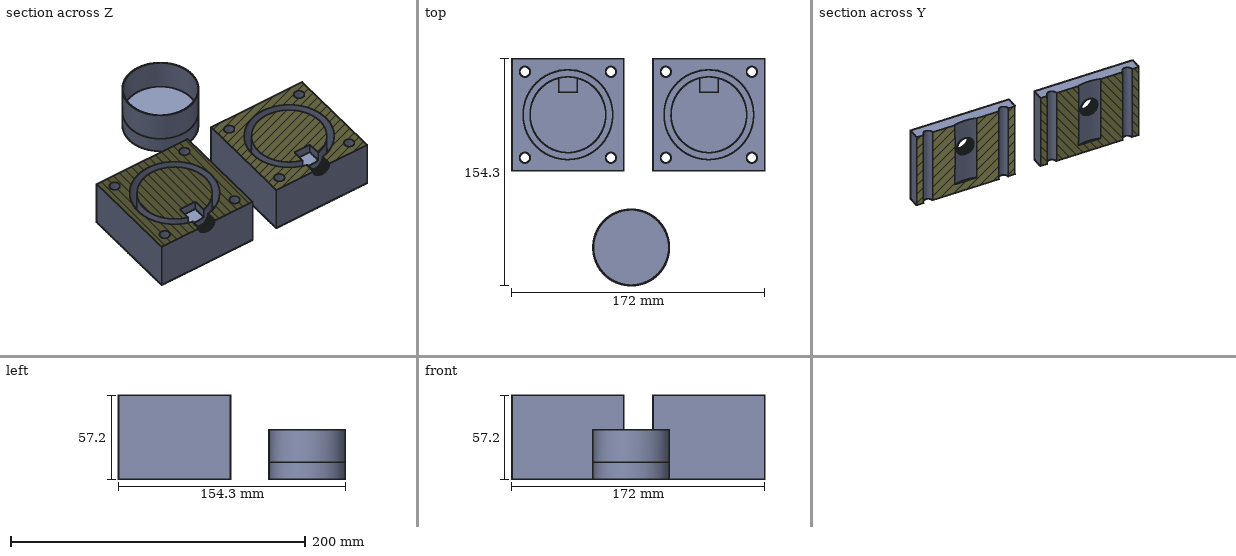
import cadquery as cq
import math

total_length = 171.96
total_width = 154.27

housing_count = 2
housing_side = 76.2
housing_height = 57.15
bore_diameter = 60.96
post_diameter = 51.49
post_top_depth = 13.4
side_wall = (housing_side - bore_diameter) / 2
floor_thickness = side_wall
bore_depth = housing_height - floor_thickness

bolt_hole_diameter = 6.91
bolt_hole_pitch = 58.42

notch_width = 12.7
notch_front = 15.24

port_depth = 21.4
port_diameter = 12.4
thread_pitch = 1.411
thread_height = 0.5

cup_diameter = 51.99
cup_bore_diameter = 51.16
cup_height = 33.78
cup_base_height = 11.43
cup_center_x = 81.05


def make_housing():
    """Square block on Z = 0, bored out around a central post and centred on the Z axis."""
    block = cq.Workplane("XY").rect(housing_side, housing_side).extrude(housing_height)
    post_top = housing_height - post_top_depth
    block = block.cut(
        cq.Workplane("XY", origin=(0, 0, floor_thickness)).circle(bore_diameter / 2).extrude(bore_depth)
    )
    post = cq.Workplane("XY").circle(post_diameter / 2).extrude(post_top).cut(make_notch())
    block = block.union(post)
    block = block.cut(make_bolt_holes())
    return block.cut(make_port())


def make_notch():
    """Slot out through the back of the post, its floor level with the underside of the port."""
    length = bore_diameter / 2 - notch_front
    notch_floor = housing_height - port_depth - port_diameter / 2 - thread_height
    return (
        cq.Workplane("XY", origin=(0, notch_front + length / 2, notch_floor))
        .rect(notch_width, length)
        .extrude(housing_height - notch_floor)
    )


def make_bolt_holes():
    """Four through holes, one near each corner."""
    return (
        cq.Workplane("XY")
        .rect(bolt_hole_pitch, bolt_hole_pitch, forConstruction=True)
        .vertices()
        .circle(bolt_hole_diameter / 2)
        .extrude(housing_height)
    )


def make_port():
    """Port along Y with ring-shaped V thread grooves, from inside the bore out through the back."""
    crest_radius = port_diameter / 2
    root_radius = crest_radius + thread_height
    start = math.sqrt((bore_diameter / 2) ** 2 - root_radius ** 2)
    outside = housing_side / 2
    turns = math.ceil((outside - start) / thread_pitch)
    first = outside - turns * thread_pitch
    profile = cq.Workplane("XY").moveTo(0, first).lineTo(crest_radius, first)
    for turn in range(turns):
        crest = first + turn * thread_pitch
        profile = profile.lineTo(root_radius, crest + thread_pitch / 2)
        profile = profile.lineTo(crest_radius, crest + thread_pitch)
    port = profile.lineTo(0, outside).close().revolve(360, (0, 0, 0), (0, 1, 0))
    return port.translate((0, 0, housing_height - port_depth))


def make_cup():
    """Thin-walled cup with a thick base, standing on Z = 0 on the Z axis."""
    base = cq.Workplane("XY").circle(cup_diameter / 2).extrude(cup_base_height)
    wall = (
        cq.Workplane("XY", origin=(0, 0, cup_base_height))
        .circle(cup_diameter / 2)
        .circle(cup_bore_diameter / 2)
        .extrude(cup_height - cup_base_height)
    )
    return base.union(wall, clean=False)


housing_spacing = total_length - housing_side
housings = [make_housing().translate((i * housing_spacing, 0, 0)) for i in range(housing_count)]

cup_center_y = housing_side / 2 - total_width + cup_diameter / 2
cup = make_cup().translate((cup_center_x - housing_side / 2, cup_center_y, 0))

result = cq.Compound.makeCompound([*[housing.val() for housing in housings], cup.val()])